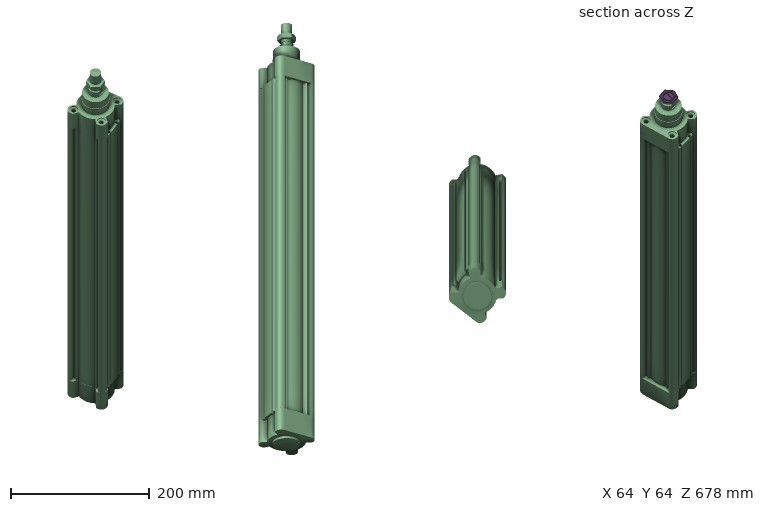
import cadquery as cq
import math

LENGTH = 678.0
WIDTH = 64.0

BASE_CAP_BOTTOM = 3.5
TUBE_BOTTOM = 38.5
TUBE_TOP = 577.0
HEAD_CAP_TOP = 609.0
COLLAR_STEP = 621.5
COLLAR_TOP = 636.0
ROD_FLAT_BOTTOM = 638.0
ROD_SHOULDER = 646.0
THREAD_START = 648.0
NUT_BOTTOM = 652.0
NUT_TOP = 660.0

CAP_HALF = WIDTH / 2
CAP_CORE_RADIUS = 28.0
CAP_CORNER_RADIUS = 9.0
PAD_FLAT_START = 19.5
PAD_FOOT = 13.5

TUBE_INSET = 0.35
TUBE_HALF = CAP_HALF - TUBE_INSET
TUBE_CORE_RADIUS = CAP_CORE_RADIUS - TUBE_INSET
TUBE_CORNER_RADIUS = 7.5

RIB_HALF_WIDTH = 9.0
CHANNEL_OUTER = 13.0
CHANNEL_DEPTH = 5.0
GROOVE_INNER = 15.5
GROOVE_BOTTOM = 18.0
GROOVE_OUTER = 21.0
GROOVE_DEPTH = 4.0

SLOT_INNER = 17.0
SLOT_OUTER = 22.5
SLOT_DEPTH = 7.0

SOCKET_OFFSET = 23.0
RECESS_DIAMETER = 13.0
RECESS_DEPTH = 2.0
COUNTERSINK_DIAMETER = 9.0
SOCKET_DIAMETER = 6.65
SOCKET_DEPTH = 13.5
DRILL_POINT_ANGLE = 120

COLLAR_DIAMETER = 40.0
COLLAR_TIP_DIAMETER = 38.5

ROD_DIAMETER = 20.0
NECK_DIAMETER = 14.0
THREAD_DIAMETER = 16.0
ROD_ACROSS_FLATS = 17.0
NUT_ACROSS_FLATS = 24.0
NUT_CHAMFER_HEIGHT = 1.0
NUT_CHAMFER_WIDTH = 1.7


def at_height(z):
    return cq.Workplane("XY").workplane(offset=z)


def cylinder(diameter, bottom, top):
    return at_height(bottom).circle(diameter / 2).extrude(top - bottom)


def box(x_range, y_range, bottom, top):
    size_x = x_range[1] - x_range[0]
    size_y = y_range[1] - y_range[0]
    return at_height(bottom).rect(size_x, size_y, centered=False).extrude(top - bottom).translate(
        (x_range[0], y_range[0], 0)
    )


def turned(body, angle):
    """The body turned about the Z axis."""
    return body.rotate((0, 0, 0), (0, 0, 1), angle)


def padded_core(half, core_radius, corner_radius, bottom, top):
    """Round core with a rounded pad in each corner of the square."""
    foot_reach = math.sqrt(core_radius**2 - PAD_FOOT**2)
    arc_start = half - corner_radius
    arc_middle = arc_start + corner_radius * math.sqrt(0.5)
    pad = (
        at_height(bottom)
        .lineTo(PAD_FOOT, foot_reach)
        .lineTo(PAD_FLAT_START, half)
        .lineTo(arc_start, half)
        .threePointArc((arc_middle, arc_middle), (half, arc_start))
        .lineTo(half, PAD_FLAT_START)
        .lineTo(foot_reach, PAD_FOOT)
        .close()
        .extrude(top - bottom)
    )
    prism = cylinder(2 * core_radius, bottom, top)
    for quarter in range(4):
        prism = prism.union(turned(pad, 90 * quarter))
    return prism


def make_cap(bottom, top):
    """End cap, with a full flat face on its +Y side."""
    back_half_width = CAP_HALF - CAP_CORNER_RADIUS
    back = box((-back_half_width, back_half_width), (0, CAP_HALF), bottom, top)
    cap = padded_core(CAP_HALF, CAP_CORE_RADIUS, CAP_CORNER_RADIUS, bottom, top)
    return cap.union(back)


def make_side_cuts():
    """Channels beside the +X rib and V-grooves beside the +X corners."""
    channel = box(
        (TUBE_HALF - CHANNEL_DEPTH, TUBE_HALF), (RIB_HALF_WIDTH, CHANNEL_OUTER), TUBE_BOTTOM, TUBE_TOP
    )
    groove = (
        at_height(TUBE_BOTTOM)
        .moveTo(TUBE_HALF, GROOVE_INNER)
        .lineTo(TUBE_HALF - GROOVE_DEPTH, GROOVE_BOTTOM)
        .lineTo(TUBE_HALF, GROOVE_OUTER)
        .close()
        .extrude(TUBE_TOP - TUBE_BOTTOM)
    )
    cuts = channel.union(groove)
    return cuts.union(cuts.mirror("XZ"))


def make_face_slots():
    """The two slots on the +Y side."""
    slot = box((SLOT_INNER, SLOT_OUTER), (TUBE_HALF - SLOT_DEPTH, TUBE_HALF), TUBE_BOTTOM, TUBE_TOP)
    return slot.union(slot.mirror("YZ"))


def make_tube():
    tube = padded_core(TUBE_HALF, TUBE_CORE_RADIUS, TUBE_CORNER_RADIUS, TUBE_BOTTOM, TUBE_TOP)
    side_block = box((0, TUBE_HALF), (-GROOVE_OUTER, GROOVE_OUTER), TUBE_BOTTOM, TUBE_TOP)
    cuts = make_side_cuts().union(make_face_slots())
    for angle in (0, 180):
        tube = tube.union(turned(side_block, angle))
        tube = tube.cut(turned(cuts, angle))
    return tube


def make_socket():
    """Stepped hole on the Z axis with a countersunk mouth and a drill-point end."""
    recess_radius = RECESS_DIAMETER / 2
    mouth_radius = COUNTERSINK_DIAMETER / 2
    hole_radius = SOCKET_DIAMETER / 2
    recess_floor = HEAD_CAP_TOP - RECESS_DEPTH
    countersink_end = recess_floor - (mouth_radius - hole_radius)
    hole_end = HEAD_CAP_TOP - SOCKET_DEPTH
    point_end = hole_end - hole_radius / math.tan(math.radians(DRILL_POINT_ANGLE / 2))
    return (
        cq.Workplane("XZ")
        .moveTo(0, HEAD_CAP_TOP)
        .lineTo(recess_radius, HEAD_CAP_TOP)
        .lineTo(recess_radius, recess_floor)
        .lineTo(mouth_radius, recess_floor)
        .lineTo(hole_radius, countersink_end)
        .lineTo(hole_radius, hole_end)
        .lineTo(0, point_end)
        .close()
        .revolve(360, (0, 0), (0, 1))
    )


def make_housing():
    """Tube, caps and collars in one piece, bored for the rod."""
    body = make_tube()
    body = body.union(make_cap(BASE_CAP_BOTTOM, TUBE_BOTTOM))
    body = body.union(make_cap(TUBE_TOP, HEAD_CAP_TOP))
    body = body.union(cylinder(COLLAR_DIAMETER, 0, BASE_CAP_BOTTOM))
    body = body.union(cylinder(COLLAR_DIAMETER, HEAD_CAP_TOP, COLLAR_STEP))
    body = body.union(cylinder(COLLAR_TIP_DIAMETER, COLLAR_STEP, COLLAR_TOP))
    socket = make_socket()
    for x in (-SOCKET_OFFSET, SOCKET_OFFSET):
        for y in (-SOCKET_OFFSET, SOCKET_OFFSET):
            body = body.cut(socket.translate((x, y, 0)))
    return body.cut(cylinder(ROD_DIAMETER, TUBE_TOP, COLLAR_TOP))


def make_rod():
    """Rod seated in the head cap, with wrench flats, a neck and a thread."""
    rod = cylinder(ROD_DIAMETER, TUBE_TOP, ROD_SHOULDER)
    radius = ROD_DIAMETER / 2
    flat = box((ROD_ACROSS_FLATS / 2, radius), (-radius, radius), ROD_FLAT_BOTTOM, ROD_SHOULDER)
    for angle in (0, 180):
        rod = rod.cut(turned(flat, angle))
    rod = rod.union(cylinder(NECK_DIAMETER, ROD_SHOULDER, THREAD_START))
    return rod.union(cylinder(THREAD_DIAMETER, THREAD_START, LENGTH))


def make_nut():
    """Hexagon nut with flats facing +X and -X and chamfered corners."""
    across_corners = NUT_ACROSS_FLATS / math.cos(math.pi / 6)
    hexagon = turned(at_height(NUT_BOTTOM).polygon(6, across_corners).extrude(NUT_TOP - NUT_BOTTOM), 30)
    blank = cylinder(across_corners, NUT_BOTTOM, NUT_TOP)
    blank = blank.faces(">Z or <Z").chamfer(NUT_CHAMFER_HEIGHT, NUT_CHAMFER_WIDTH)
    return hexagon.intersect(blank).cut(cylinder(THREAD_DIAMETER, NUT_BOTTOM, NUT_TOP))


housing = make_housing()
rod = make_rod()
nut = make_nut()
result = cq.Compound.makeCompound([housing.val(), rod.val(), nut.val()])